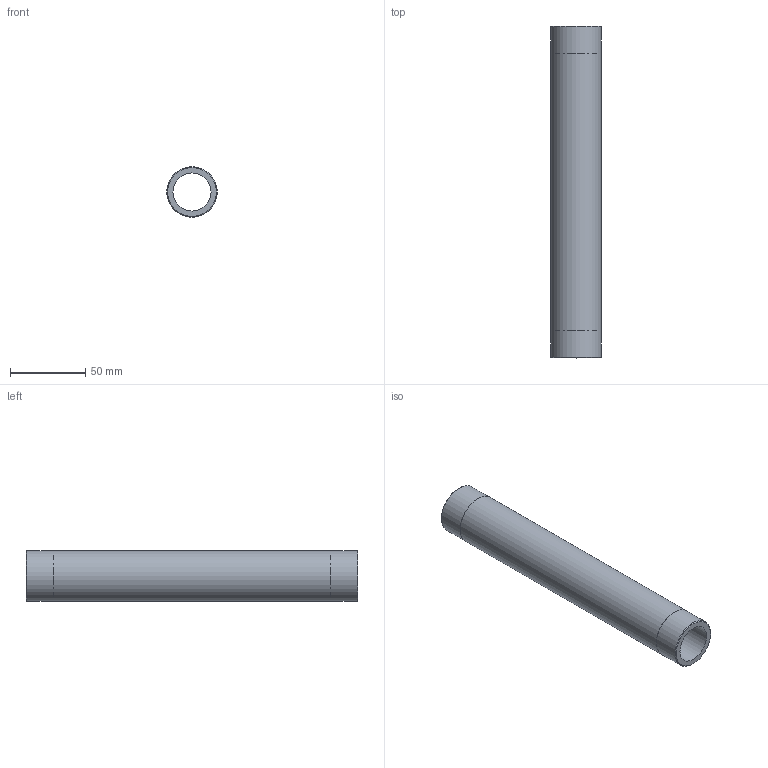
import cadquery as cq

tube_length = 220.0
tube_diameter = 33.4
bore_diameter = 25.2
end_diameter = 33.25
end_length = 18.0
end_chamfer = 0.5

half_length = tube_length / 2
half_middle = half_length - end_length


def make_wall_section():
    """Closed section of the tube wall: X is the radius, Y runs along the tube axis."""
    return (
        cq.Workplane("XY")
        .moveTo(bore_diameter / 2, -half_length)
        .lineTo(end_diameter / 2 - end_chamfer, -half_length)
        .lineTo(end_diameter / 2, -half_length + end_chamfer)
        .lineTo(end_diameter / 2, -half_middle)
        .lineTo(tube_diameter / 2, -half_middle)
        .lineTo(tube_diameter / 2, half_middle)
        .lineTo(end_diameter / 2, half_middle)
        .lineTo(end_diameter / 2, half_length - end_chamfer)
        .lineTo(end_diameter / 2 - end_chamfer, half_length)
        .lineTo(bore_diameter / 2, half_length)
        .close()
    )


result = make_wall_section().revolve(360, (0, 0, 0), (0, 1, 0))